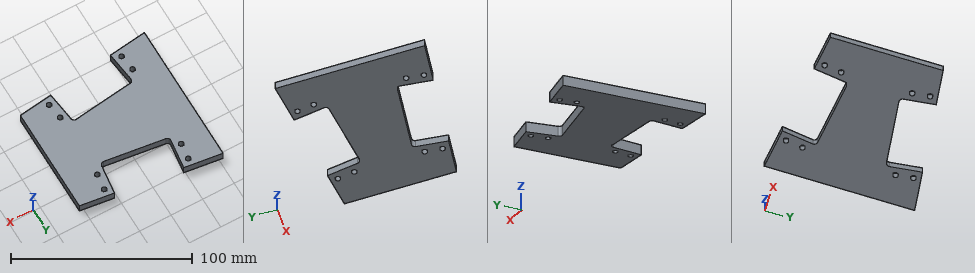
import cadquery as cq
import math

LENGTH = 85.0
WIDE_END_WIDTH = 87.0
THICKNESS = 6.0
SIDE_TAPER = 7.3

NOTCH_OFFSET = 23.5
NOTCH_LENGTH = 41.2
NOTCH_DEPTH = 20.5
NOTCH_CORNER_RADIUS = 2.0

HOLE_DIAMETER = 3.0
HOLE_SPACING_ALONG = 50.0
HOLE_SPACING_ACROSS = 10.0
FIRST_HOLE_OFFSET = 19.05
FIRST_HOLE_INSET = 4.3

TAPER = math.radians(SIDE_TAPER)
WIDE_END_X = -LENGTH / 2
NARROW_END_WIDTH = WIDE_END_WIDTH - 2 * LENGTH * math.tan(TAPER)


def side_point(along, inset):
    """Point measured along the +Y side from its wide-end corner, and inward from that side."""
    x = WIDE_END_X + along * math.cos(TAPER) - inset * math.sin(TAPER)
    y = WIDE_END_WIDTH / 2 - along * math.sin(TAPER) - inset * math.cos(TAPER)
    return x, y


def mirrored(points):
    """The same points reflected across the X axis, in reverse order."""
    return [(x, -y) for x, y in reversed(points)]


def make_plate():
    notch_end = NOTCH_OFFSET + NOTCH_LENGTH
    floor_corners = [
        side_point(NOTCH_OFFSET, NOTCH_DEPTH),
        side_point(notch_end, NOTCH_DEPTH),
    ]
    upper_half = [
        (WIDE_END_X, WIDE_END_WIDTH / 2),
        side_point(NOTCH_OFFSET, 0),
        *floor_corners,
        side_point(notch_end, 0),
        (LENGTH / 2, NARROW_END_WIDTH / 2),
    ]
    plate = cq.Workplane("XY").polyline(upper_half + mirrored(upper_half)).close().extrude(THICKNESS)

    for x, y in floor_corners + mirrored(floor_corners):
        corner_edge = cq.selectors.NearestToPointSelector((x, y, THICKNESS / 2))
        plate = plate.edges("|Z").edges(corner_edge).fillet(NOTCH_CORNER_RADIUS)
    return plate


def drill_mounting_holes(plate):
    centres = [
        side_point(FIRST_HOLE_OFFSET + along, FIRST_HOLE_INSET + inset)
        for along in (0, HOLE_SPACING_ALONG)
        for inset in (0, HOLE_SPACING_ACROSS)
    ]
    holes = (
        cq.Workplane("XY")
        .pushPoints(centres + mirrored(centres))
        .circle(HOLE_DIAMETER / 2)
        .extrude(THICKNESS)
    )
    return plate.cut(holes)


result = drill_mounting_holes(make_plate())